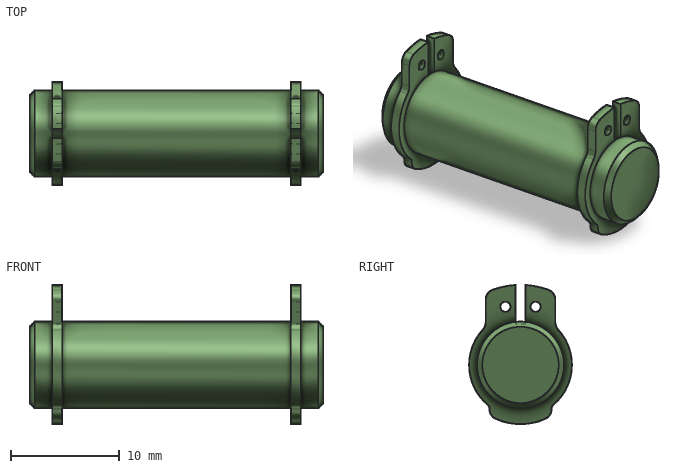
import cadquery as cq
import math

PIN_LENGTH = 27.0
PIN_RADIUS = 4.0
PIN_CHAMFER = 0.49
GROOVE_RADIUS = 3.8

CLIP_THICKNESS = 0.92
CLIP_INSET = 2.08
CLIP_WIDTH = 9.48
CLIP_RADIUS = CLIP_WIDTH / 2
EAR_TOP_RADIUS = 7.37
TAB_BOTTOM_RADIUS = 5.45
EAR_HALF_WIDTH = 3.2
TAB_HALF_WIDTH = 2.85
CORNER_RADIUS = 1.0
EAR_ROOT_RADIUS = 1.0
TAB_ROOT_RADIUS = 0.5
GAP_WIDTH = 0.9
HOLE_RADIUS = 0.45
HOLE_SPACING = 2.78
HOLE_HEIGHT = 5.35


def lobe(half_width, tip_radius, root_radius, direction):
    """Radial lobe with a concentric tip, rounded corners and filleted roots.

    Direction is +1 for a lobe pointing up and -1 for one pointing down.
    """
    corner_y = half_width - CORNER_RADIUS
    corner_z = math.sqrt((tip_radius - CORNER_RADIUS) ** 2 - corner_y ** 2)
    corner_angle = math.atan2(corner_z, corner_y)
    tip_end = (tip_radius * math.cos(corner_angle), tip_radius * math.sin(corner_angle))
    corner_mid = (
        corner_y + CORNER_RADIUS * math.cos(corner_angle / 2),
        corner_z + CORNER_RADIUS * math.sin(corner_angle / 2),
    )

    root_y = half_width + root_radius
    root_z = math.sqrt((CLIP_RADIUS + root_radius) ** 2 - root_y ** 2)
    root_angle = math.atan2(root_z, root_y)
    ring_touch = (CLIP_RADIUS * math.cos(root_angle), CLIP_RADIUS * math.sin(root_angle))
    root_mid = (
        root_y - root_radius * math.cos(root_angle / 2),
        root_z - root_radius * math.sin(root_angle / 2),
    )

    def right(point):
        return (point[0], direction * point[1])

    def left(point):
        return (-point[0], direction * point[1])

    return (
        cq.Workplane("YZ")
        .moveTo(0, 0)
        .lineTo(*right(ring_touch))
        .threePointArc(right(root_mid), right((half_width, root_z)))
        .lineTo(*right((half_width, corner_z)))
        .threePointArc(right(corner_mid), right(tip_end))
        .threePointArc((0, direction * tip_radius), left(tip_end))
        .threePointArc(left(corner_mid), left((half_width, corner_z)))
        .lineTo(*left((half_width, root_z)))
        .threePointArc(left(root_mid), left(ring_touch))
        .close()
        .extrude(CLIP_THICKNESS)
    )


def make_clip():
    """Retaining clip with its outer face at X = 0, bored to fit the groove."""
    ring = cq.Workplane("YZ").circle(CLIP_RADIUS).extrude(CLIP_THICKNESS)
    bore = cq.Workplane("YZ").circle(GROOVE_RADIUS).extrude(CLIP_THICKNESS)
    ears = lobe(EAR_HALF_WIDTH, EAR_TOP_RADIUS, EAR_ROOT_RADIUS, 1)
    tab = lobe(TAB_HALF_WIDTH, TAB_BOTTOM_RADIUS, TAB_ROOT_RADIUS, -1)
    gap = (
        cq.Workplane("YZ")
        .center(0, EAR_TOP_RADIUS / 2)
        .rect(GAP_WIDTH, EAR_TOP_RADIUS)
        .extrude(CLIP_THICKNESS)
    )
    holes = (
        cq.Workplane("YZ")
        .pushPoints([(side * HOLE_SPACING / 2, HOLE_HEIGHT) for side in (-1, 1)])
        .circle(HOLE_RADIUS)
        .extrude(CLIP_THICKNESS)
    )
    return ring.union(ears).union(tab).cut(bore).cut(gap).cut(holes)


pin = (
    cq.Workplane("YZ")
    .circle(PIN_RADIUS)
    .extrude(PIN_LENGTH)
    .faces("<X or >X")
    .chamfer(PIN_CHAMFER)
)

groove = (
    cq.Workplane("YZ")
    .circle(PIN_RADIUS)
    .circle(GROOVE_RADIUS)
    .extrude(CLIP_THICKNESS)
)
clip = make_clip()

result = pin
for clip_start in (CLIP_INSET, PIN_LENGTH - CLIP_INSET - CLIP_THICKNESS):
    shift = (clip_start, 0, 0)
    result = result.cut(groove.translate(shift)).union(clip.translate(shift))